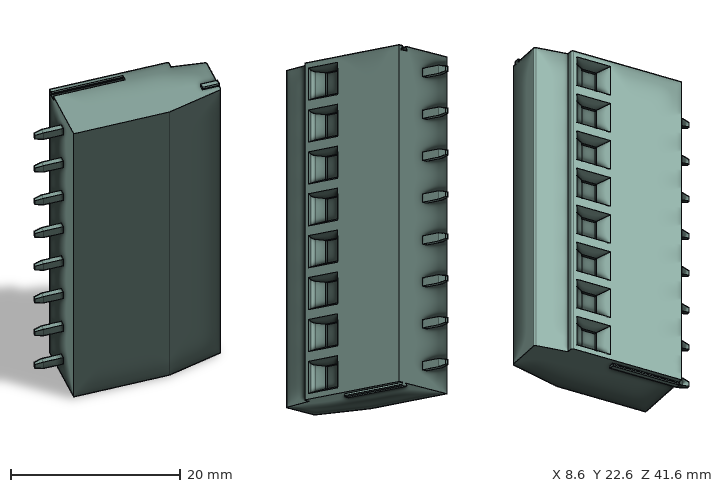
import math

import cadquery as cq


POLE_COUNT = 8
PITCH = 5.08
END_MARGIN = 0.1
HEIGHT = POLE_COUNT * PITCH + 2 * END_MARGIN
POLE_Z = [(i - (POLE_COUNT - 1) / 2) * PITCH for i in range(POLE_COUNT)]

WIDTH = 8.6
DEPTH = 19.1
LEFT = -WIDTH / 2
RIGHT = WIDTH / 2
SHELF_Y = 14.9
SHELF_WIDTH = 0.9
RIDGE_LEFT = LEFT + 1.55
RIDGE_RIGHT = LEFT + 6.75
RIGHT_SLOPE_Y = 12.0
EDGE_RADIUS = 0.25

MOUTH_LOW_Y = 9.65
MOUTH_HIGH_Y = 14.2
MOUTH_HEIGHT = 3.9
FUNNEL_DEPTH = 1.36
FUNNEL_SIDE_INSET = 0.56
FUNNEL_LIP = 0.37
FUNNEL_RADIUS = 0.54
FUNNEL_RAMP_ANGLE = math.radians(67)
RECESS_LOW_Y = 10.8
RECESS_HIGH_Y = 12.75
RECESS_DEPTH = 0.35

PIN_X = LEFT + 4.55
PIN_WIDTH = 0.7
PIN_HEIGHT = 1.0
PIN_TIP_WIDTH = 0.4
PIN_TIP_HEIGHT = 0.6
PIN_LENGTH = 3.5
PIN_TIP_LENGTH = 1.0

TONGUE_HEIGHT = 0.4
GROOVE_DEPTH = 0.55
TONGUE_NECK = 0.6
TONGUE_WIDTH = 0.9
GROOVE_NECK = 0.55
GROOVE_WIDTH = 0.96
DOVETAIL_CHAMFER = 0.13
FRONT_DOVETAIL_X = LEFT + 0.92
FRONT_DOVETAIL_LENGTH = 9.0
BACK_DOVETAIL_X = LEFT + 5.78
BACK_DOVETAIL_LENGTH = 2.1


def make_housing():
    """Prism along Z with a shelf on the left and a slope on each side of the back face."""
    outline = [
        (LEFT, 0),
        (RIGHT, 0),
        (RIGHT, RIGHT_SLOPE_Y),
        (RIDGE_RIGHT, DEPTH),
        (RIDGE_LEFT, DEPTH),
        (LEFT + SHELF_WIDTH, SHELF_Y),
        (LEFT, SHELF_Y),
    ]
    prism = cq.Workplane("XY").workplane(offset=-HEIGHT / 2).polyline(outline).close().extrude(HEIGHT)
    prism = prism.faces(">Y").edges("|Z").fillet(EDGE_RADIUS)
    shelf_corner = cq.selectors.NearestToPointSelector((LEFT, SHELF_Y, 0))
    return prism.edges("|Z").edges(shelf_corner).fillet(EDGE_RADIUS)


def make_pocket():
    """Cutter for one wire entry: a funnel with a curved upper wall, then a straight recess."""
    curve_start = (LEFT + FUNNEL_LIP, MOUTH_HIGH_Y)
    half_angle = FUNNEL_RAMP_ANGLE / 2
    curve_mid = (
        curve_start[0] + FUNNEL_RADIUS * math.sin(half_angle),
        MOUTH_HIGH_Y - FUNNEL_RADIUS * (1 - math.cos(half_angle)),
    )
    curve_end = (
        curve_start[0] + FUNNEL_RADIUS * math.sin(FUNNEL_RAMP_ANGLE),
        MOUTH_HIGH_Y - FUNNEL_RADIUS * (1 - math.cos(FUNNEL_RAMP_ANGLE)),
    )
    funnel_floor = LEFT + FUNNEL_DEPTH
    funnel = (
        cq.Workplane("XY")
        .moveTo(LEFT, MOUTH_LOW_Y)
        .lineTo(LEFT, MOUTH_HIGH_Y)
        .lineTo(*curve_start)
        .threePointArc(curve_mid, curve_end)
        .lineTo(funnel_floor, RECESS_HIGH_Y)
        .lineTo(funnel_floor, RECESS_LOW_Y)
        .close()
        .extrude(MOUTH_HEIGHT / 2, both=True)
    )
    mouth_half = MOUTH_HEIGHT / 2
    floor_half = mouth_half - FUNNEL_SIDE_INSET
    side_taper = (
        cq.Workplane("XZ")
        .polyline([
            (LEFT, -mouth_half),
            (funnel_floor, -floor_half),
            (funnel_floor, floor_half),
            (LEFT, mouth_half),
        ])
        .close()
        .extrude(-DEPTH)
    )
    recess = (
        cq.Workplane("XY")
        .box(RECESS_DEPTH, RECESS_HIGH_Y - RECESS_LOW_Y, 2 * floor_half, centered=(False, False, True))
        .translate((funnel_floor, RECESS_LOW_Y, 0))
    )
    return funnel.intersect(side_taper).union(recess)


def make_pin():
    """Rectangular pin along -Y with a tapered tip, rooted in the pin face."""
    shank_length = PIN_LENGTH - PIN_TIP_LENGTH
    shank = cq.Workplane("XZ").center(PIN_X, 0).rect(PIN_WIDTH, PIN_HEIGHT).extrude(shank_length)
    return (
        shank.faces("<Y")
        .workplane(centerOption="CenterOfBoundBox")
        .rect(PIN_WIDTH, PIN_HEIGHT)
        .workplane(offset=PIN_TIP_LENGTH)
        .rect(PIN_TIP_WIDTH, PIN_TIP_HEIGHT)
        .loft(combine=True)
    )


def extrude_along_y(right_half, center_x, start_y, length):
    """Bar along Y whose section is mirrored about center_x; right_half lists (half width, z)."""
    left_half = [(-half_width, z) for half_width, z in reversed(right_half)]
    section = [(center_x + offset, z) for offset, z in right_half + left_half]
    return cq.Workplane("XZ", origin=(0, start_y, 0)).polyline(section).close().extrude(-length)


def make_tongue(center_x, root_z, outward, start_y, length):
    """Dovetail tongue with chamfered tip corners; outward is +1 for up and -1 for down."""
    right_half = [
        (TONGUE_NECK / 2, root_z),
        (TONGUE_WIDTH / 2, root_z + outward * (TONGUE_HEIGHT - DOVETAIL_CHAMFER)),
        (TONGUE_WIDTH / 2 - DOVETAIL_CHAMFER, root_z + outward * TONGUE_HEIGHT),
    ]
    return extrude_along_y(right_half, center_x, start_y, length)


def make_groove(center_x, mouth_z, start_y, length):
    """Cutter for a downward dovetail groove with a chamfered mouth."""
    right_half = [
        (GROOVE_NECK / 2 + DOVETAIL_CHAMFER, mouth_z),
        (GROOVE_NECK / 2, mouth_z - DOVETAIL_CHAMFER),
        (GROOVE_WIDTH / 2, mouth_z - GROOVE_DEPTH + DOVETAIL_CHAMFER),
        (GROOVE_WIDTH / 2, mouth_z - GROOVE_DEPTH),
    ]
    return extrude_along_y(right_half, center_x, start_y, length)


top = HEIGHT / 2
bottom = -HEIGHT / 2

body = make_housing()

pocket = make_pocket()
pin = make_pin()
for pole_z in POLE_Z:
    body = body.cut(pocket.translate((0, 0, pole_z)))
    body = body.union(pin.translate((0, 0, pole_z)))

front_tongue = make_tongue(FRONT_DOVETAIL_X, bottom, -1, 0, FRONT_DOVETAIL_LENGTH)
front_groove = make_groove(FRONT_DOVETAIL_X, top, 0, FRONT_DOVETAIL_LENGTH)
back_tongue = make_tongue(BACK_DOVETAIL_X, top, 1, DEPTH - BACK_DOVETAIL_LENGTH, BACK_DOVETAIL_LENGTH)

result = body.union(front_tongue).union(back_tongue).cut(front_groove)